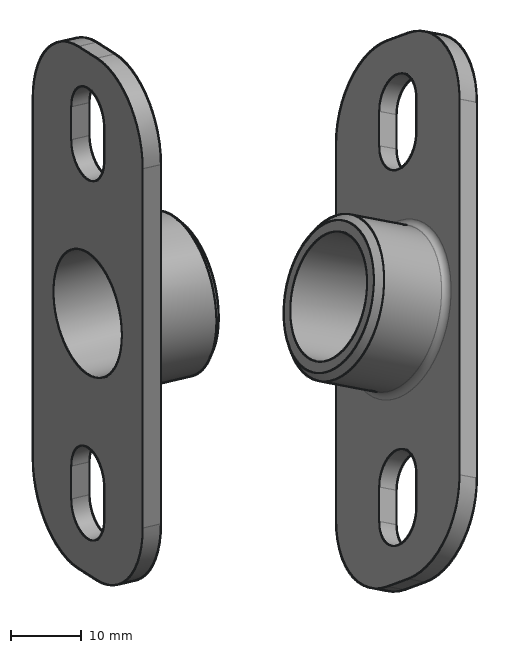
import cadquery as cq

plate_width = 30.0
plate_height = 80.0
plate_thickness = 3.0
corner_radius = 12.5

overall_depth = 15.0
boss_diameter = 24.0
bore_diameter = 18.6
rim_chamfer = 1.0
root_fillet = 1.0

slot_length = 14.0
slot_width = 9.0
slot_offset = 27.5


def make_plate():
    """Plate with rounded corners, extending toward +Y."""
    return (
        cq.Workplane("XZ")
        .rect(plate_width, plate_height)
        .extrude(-plate_thickness)
        .edges("|Y")
        .fillet(corner_radius)
    )


def make_boss():
    """Round boss with a chamfered rim, starting at the plate's front face."""
    return (
        cq.Workplane("XZ")
        .circle(boss_diameter / 2)
        .extrude(-overall_depth)
        .faces(">Y")
        .edges()
        .chamfer(rim_chamfer)
    )


def make_slots():
    """Cutters for the two mounting slots."""
    return (
        cq.Workplane("XZ")
        .pushPoints([(0, slot_offset), (0, -slot_offset)])
        .slot2D(slot_length, slot_width, 90)
        .extrude(-plate_thickness)
    )


def make_bore():
    """Cutter for the bore through the plate and boss."""
    return cq.Workplane("XZ").circle(bore_diameter / 2).extrude(-overall_depth)


body = make_plate().union(make_boss())

root_center = (0, plate_thickness, 0)
root_edge = body.edges(cq.selectors.NearestToPointSelector(root_center))
body = root_edge.fillet(root_fillet)

result = body.cut(make_slots()).cut(make_bore())